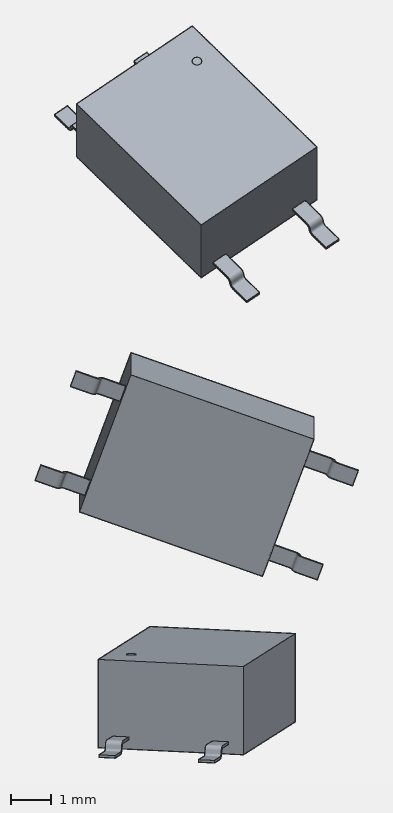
import cadquery as cq
import math

overall_length = 7.39
housing_length = 4.795
housing_width = 3.71
housing_height = 2.21

marker_diameter = 0.24
marker_depth = 0.04
marker_x = -1.5
marker_y = 1.255

lead_width = 0.415
lead_thickness = 0.07
lead_row_y = 1.27
lead_top = 0.31
foot_length = 0.51
bend_inner_radius = 0.08
bend_angle = 75.0

bend_outer_radius = bend_inner_radius + lead_thickness
bend_radians = math.radians(bend_angle)

bend_rise = (bend_inner_radius + bend_outer_radius) * (1 - math.cos(bend_radians))
web_rise = lead_top - lead_thickness - bend_rise
web_run = web_rise / math.tan(bend_radians)
bend_run = (bend_inner_radius + bend_outer_radius) * math.sin(bend_radians)


def make_marker():
    return (
        cq.Workplane("XY", origin=(marker_x, marker_y, housing_height - marker_depth))
        .circle(marker_diameter / 2)
        .extrude(marker_depth)
    )


def make_housing(marker):
    block = cq.Workplane("XY").box(
        housing_length, housing_width, housing_height, centered=(True, True, False)
    )
    return block.cut(marker)


def point_on_bend(center, radius, angle):
    """Point on a bend, with the angle in radians from the +X direction."""
    return (center[0] + radius * math.cos(angle), center[1] + radius * math.sin(angle))


def make_left_lead():
    """Lead on the -X side, centred on Y = 0, from foot tip to housing face."""
    tip_x = -overall_length / 2
    root_x = -housing_length / 2
    foot_end_x = tip_x + foot_length
    lower_center = (foot_end_x, bend_outer_radius)
    upper_center = (foot_end_x + bend_run + web_run, lead_top - bend_outer_radius)

    def lower(radius, share):
        return point_on_bend(lower_center, radius, -math.pi / 2 + share * bend_radians)

    def upper(radius, share):
        return point_on_bend(upper_center, radius, math.pi / 2 + share * bend_radians)

    profile = (
        cq.Workplane("XZ")
        .moveTo(tip_x, 0)
        .lineTo(*lower(bend_outer_radius, 0))
        .threePointArc(lower(bend_outer_radius, 0.5), lower(bend_outer_radius, 1))
        .lineTo(*upper(bend_inner_radius, 1))
        .threePointArc(upper(bend_inner_radius, 0.5), upper(bend_inner_radius, 0))
        .lineTo(root_x, lead_top - lead_thickness)
        .lineTo(root_x, lead_top)
        .lineTo(*upper(bend_outer_radius, 0))
        .threePointArc(upper(bend_outer_radius, 0.5), upper(bend_outer_radius, 1))
        .lineTo(*lower(bend_inner_radius, 1))
        .threePointArc(lower(bend_inner_radius, 0.5), lower(bend_inner_radius, 0))
        .lineTo(tip_x, lead_thickness)
        .close()
    )
    return profile.extrude(lead_width / 2, both=True)


def make_leads():
    """Two leads on each end of the housing, the +X pair turned half round."""
    leads = []
    for turn in (0, 180):
        for row_y in (-lead_row_y, lead_row_y):
            lead = make_left_lead().rotate((0, 0, 0), (0, 0, 1), turn).translate((0, row_y, 0))
            leads.append(lead.val())
    return leads


marker = make_marker()
housing = make_housing(marker)
leads = make_leads()

result = cq.Compound.makeCompound([housing.val(), marker.val(), *leads])